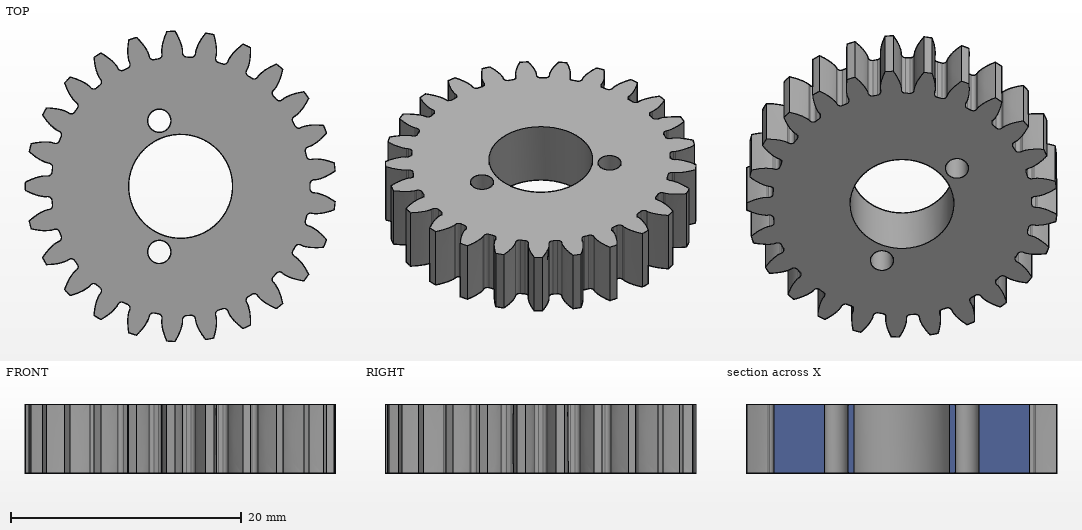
import cadquery as cq
import math

overall_length = 26.98
thickness = 6.0
teeth = 25
pressure_angle = math.radians(20)
clearance_ratio = 0.25
root_fillet = 0.35
bore_diameter = 9.0
pin_hole_diameter = 2.0
pin_circle_radius = 6.0
pin_hole_angles = (108, -108)
flank_points = 7

half_pitch_angle = math.pi / teeth


def involute(angle):
    """Polar angle swept by an involute at the given pressure angle."""
    return math.tan(angle) - angle


def tooth_half_angle(local_pressure_angle):
    """Half the angle a tooth fills where the flank has this pressure angle."""
    return half_pitch_angle / 2 + involute(pressure_angle) - involute(local_pressure_angle)


base_to_outer = teeth * math.cos(pressure_angle) / (teeth + 2)
tip_pressure_angle = math.acos(base_to_outer)
base_half_angle = tooth_half_angle(0)
tip_half_angle = tooth_half_angle(tip_pressure_angle)

tip_corner_from_y = half_pitch_angle / 2 - tip_half_angle
outer_radius = overall_length / 2 / math.cos(tip_corner_from_y)
module = 2 * outer_radius / (teeth + 2)
base_radius = outer_radius * base_to_outer
root_radius = outer_radius - (2 + clearance_ratio) * module


def polar(radius, angle):
    return (radius * math.cos(angle), radius * math.sin(angle))


def rising_flank(centre):
    """Involute points from the base circle to the tip, before the tooth centre."""
    points = []
    for i in range(flank_points):
        roll = math.tan(tip_pressure_angle) * i / (flank_points - 1)
        local_angle = math.atan(roll)
        radius = base_radius / math.cos(local_angle)
        points.append(polar(radius, centre - tooth_half_angle(local_angle)))
    return points


def falling_flank(centre):
    """Mirror of the rising flank, from the tip down to the base circle."""
    cos_twice = math.cos(2 * centre)
    sin_twice = math.sin(2 * centre)
    mirrored = [
        (x * cos_twice + y * sin_twice, x * sin_twice - y * cos_twice)
        for x, y in rising_flank(centre)
    ]
    return mirrored[::-1]


def make_gear_blank():
    first_centre = half_pitch_angle
    outline = cq.Workplane("XY").moveTo(*polar(root_radius, first_centre - base_half_angle))
    for i in range(teeth):
        centre = first_centre + 2 * half_pitch_angle * i
        rising = rising_flank(centre)
        falling = falling_flank(centre)
        next_gap = centre + half_pitch_angle
        next_root = centre + 2 * half_pitch_angle - base_half_angle
        outline = (
            outline.lineTo(*rising[0])
            .spline(rising[1:], includeCurrent=True)
            .threePointArc(polar(outer_radius, centre), falling[0])
            .spline(falling[1:], includeCurrent=True)
            .lineTo(*polar(root_radius, centre + base_half_angle))
            .threePointArc(polar(root_radius, next_gap), polar(root_radius, next_root))
        )
    return outline.close().extrude(thickness)


def round_roots(gear):
    """Round both bottom corners of every tooth gap."""
    corner_radius_limit = (root_radius + base_radius) / 2
    corners = [
        edge
        for edge in gear.edges("|Z").vals()
        if math.hypot(edge.Center().x, edge.Center().y) < corner_radius_limit
    ]
    return gear.newObject(corners).fillet(root_fillet)


def cut_holes(gear):
    pin_centres = [polar(pin_circle_radius, math.radians(angle)) for angle in pin_hole_angles]
    bore = cq.Workplane("XY").circle(bore_diameter / 2).extrude(thickness)
    pin_holes = cq.Workplane("XY").pushPoints(pin_centres).circle(pin_hole_diameter / 2).extrude(thickness)
    return gear.cut(bore).cut(pin_holes)


result = cut_holes(round_roots(make_gear_blank()))